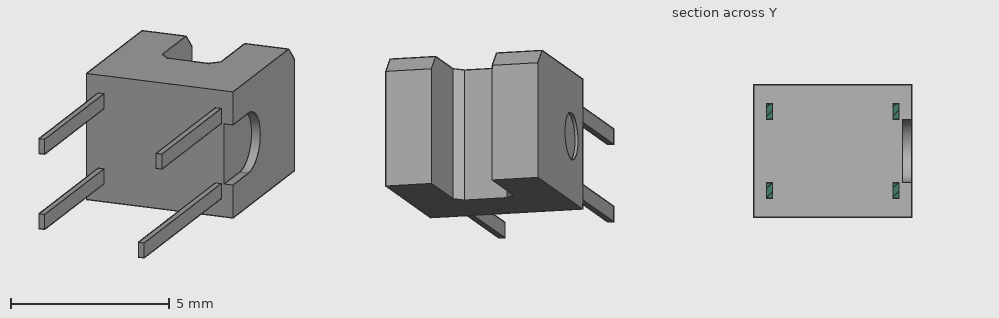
import cadquery as cq

body_width = 5.0
body_depth = 5.2
body_height = 4.2
front_chamfer = 0.5

gap_width = 2.0
gap_depth = 2.8
gap_corner = 0.3

lead_thickness = 0.2
lead_height = 0.5
lead_pitch_x = 4.0
lead_pitch_z = 2.5
lead_length = 5.0
long_lead_length = 6.5

mark_offset = 1.3
dimple_diameter = 1.5
dimple_depth = 0.1
notch_width = 2.0
notch_depth = 0.3

side_x = body_width / 2


def make_body():
    """Block with a bevel along the top edge of its arm ends."""
    block = cq.Workplane("XY").box(body_width, body_depth, body_height, centered=(True, False, True))
    return block.faces(">Y").edges(">Z").chamfer(front_chamfer)


def make_gap():
    """Gap cutter, open towards +Y, with bevelled inner corners."""
    block = cq.Workplane("XY").box(gap_width, gap_depth, body_height, centered=(True, False, True))
    cutter = block.faces("<Y").edges("|Z").chamfer(gap_corner)
    return cutter.translate((0, body_depth - gap_depth, 0))


def make_dimple():
    """Shallow round recess in the -X wall."""
    disc = cq.Workplane("YZ").center(mark_offset, 0).circle(dimple_diameter / 2).extrude(dimple_depth)
    return disc.translate((-side_x, 0, 0))


def make_notch():
    """Round-ended recess in the +X wall, open towards the lead face."""
    radius = notch_width / 2
    profile = (
        cq.Workplane("YZ")
        .moveTo(0, -radius)
        .lineTo(mark_offset, -radius)
        .threePointArc((mark_offset + radius, 0), (mark_offset, radius))
        .lineTo(0, radius)
        .close()
    )
    return profile.extrude(notch_depth).translate((side_x - notch_depth, 0, 0))


def make_lead(side, level):
    """Flat lead reaching out along -Y; the lower one on the +X side is longer."""
    is_long = side > 0 and level < 0
    length = long_lead_length if is_long else lead_length
    lead = cq.Workplane("XY").box(lead_thickness, length, lead_height)
    return lead.translate((side * lead_pitch_x / 2, -length / 2, level * lead_pitch_z / 2))


result = make_body().cut(make_gap()).cut(make_dimple()).cut(make_notch())
for side in (-1, 1):
    for level in (-1, 1):
        result = result.union(make_lead(side, level))